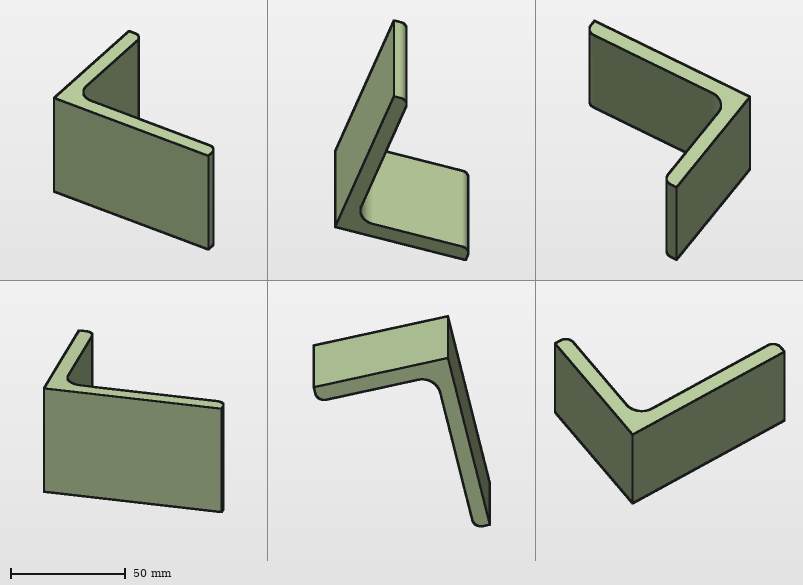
import cadquery as cq

long_leg = 80.0
short_leg = 60.0
length = 50.0
thickness = 7.0
root_radius = 8.0
toe_radius = 4.0


def angle_blank():
    """Sharp-cornered L section with its heel at the origin."""
    return (
        cq.Workplane("XY")
        .moveTo(0, 0)
        .lineTo(long_leg, 0)
        .lineTo(long_leg, thickness)
        .lineTo(thickness, thickness)
        .lineTo(thickness, short_leg)
        .lineTo(0, short_leg)
        .close()
        .extrude(length)
    )


def round_vertical_edge(body, x, y, radius):
    """Fillet the vertical edge that passes through (x, y)."""
    edge_middle = cq.selectors.NearestToPointSelector((x, y, length / 2))
    return body.edges("|Z").edges(edge_middle).fillet(radius)


result = angle_blank()
result = round_vertical_edge(result, thickness, thickness, root_radius)
result = round_vertical_edge(result, long_leg, thickness, toe_radius)
result = round_vertical_edge(result, thickness, short_leg, toe_radius)